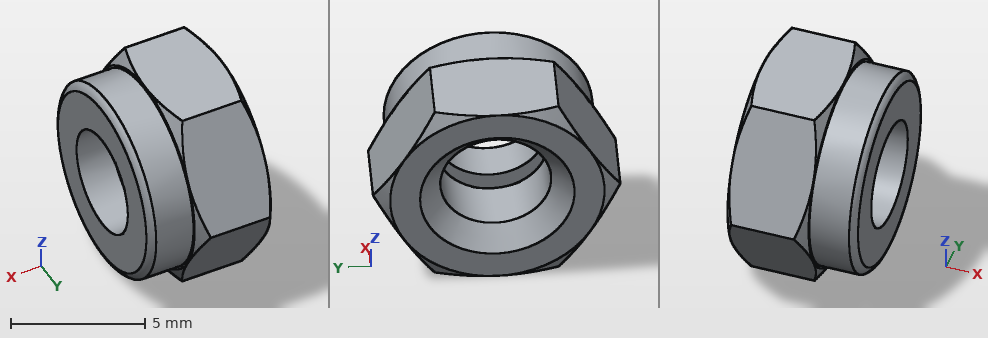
import cadquery as cq
import math

across_corners = 9.24
across_flats = across_corners * math.cos(math.radians(30))
hex_length = 3.2
corner_chamfer_angle = 30.0

total_length = 5.0
collar_diameter = 7.81
collar_edge_length = 0.24
collar_edge_depth = 0.33
collar_edge_bulge = 0.03

bore_diameter = 4.14
mouth_diameter = 5.77
mouth_depth = (mouth_diameter - bore_diameter) / 2

groove_start = 2.735
groove_cylinder_start = 3.345
groove_end = 3.51
groove_diameter = 5.51


def revolve_about_x(profile):
    """Turn a closed (x, radius) profile into a solid of revolution."""
    return profile.close().revolve(360, (0, 0, 0), (1, 0, 0))


def make_hexagon():
    """Hexagonal prism whose corners are turned down to the flats at both ends."""
    prism = cq.Workplane("YZ").polygon(6, across_corners).extrude(hex_length)
    corner_radius = across_corners / 2
    face_radius = across_flats / 2
    chamfer_length = (corner_radius - face_radius) * math.tan(math.radians(corner_chamfer_angle))
    turned_envelope = revolve_about_x(
        cq.Workplane("XY")
        .moveTo(0, 0)
        .lineTo(0, face_radius)
        .lineTo(chamfer_length, corner_radius)
        .lineTo(hex_length - chamfer_length, corner_radius)
        .lineTo(hex_length, face_radius)
        .lineTo(hex_length, 0)
    )
    return prism.intersect(turned_envelope)


def make_collar():
    """Cylindrical collar with a slightly bulged bevel at its outer end."""
    radius = collar_diameter / 2
    arc_middle = (
        total_length - collar_edge_length / 2 + collar_edge_bulge,
        radius - collar_edge_depth / 2 + collar_edge_bulge,
    )
    return revolve_about_x(
        cq.Workplane("XY")
        .moveTo(0, 0)
        .lineTo(0, radius)
        .lineTo(total_length - collar_edge_length, radius)
        .threePointArc(arc_middle, (total_length, radius - collar_edge_depth))
        .lineTo(total_length, 0)
    )


def make_bore():
    """Through bore with its conical mouth and internal groove."""
    bore_radius = bore_diameter / 2
    groove_radius = groove_diameter / 2
    return revolve_about_x(
        cq.Workplane("XY")
        .moveTo(0, 0)
        .lineTo(0, mouth_diameter / 2)
        .lineTo(mouth_depth, bore_radius)
        .lineTo(groove_start, bore_radius)
        .lineTo(groove_cylinder_start, groove_radius)
        .lineTo(groove_end, groove_radius)
        .lineTo(groove_end, bore_radius)
        .lineTo(total_length, bore_radius)
        .lineTo(total_length, 0)
    )


result = make_hexagon().union(make_collar()).cut(make_bore())